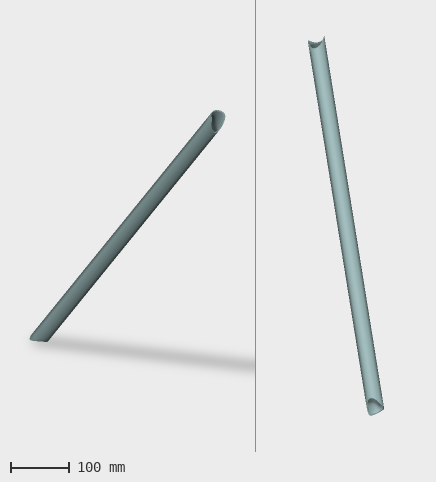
import cadquery as cq

TUBE_RADIUS = 14.5
WALL = 1.5

LOWER_END = cq.Vector(-215.5, -82.0, -313.5)
UPPER_END = cq.Vector(212.0, 81.5, 294.0)
OVERRUN = 48.5

LOWER_MATE_RADIUS = 16.0
LOWER_MATE_CENTRE = cq.Vector(-215.5, -79.0, -305.5)
LOWER_MATE_AXIS = cq.Vector(1.0, -0.07, -0.12)
UPPER_MATE_RADIUS = 16.0
UPPER_MATE_CENTRE = cq.Vector(218.5, 83.0, 294.0)
UPPER_MATE_AXIS = cq.Vector(-0.19, 0.06, 1.0)
MATE_LENGTH = 243.0


def rod(radius, start, direction, length):
    """Solid cylinder growing from start along direction."""
    return cq.Workplane(cq.Solid.makeCylinder(radius, length, start, direction))


def mating_tube(radius, centre, axis):
    """Solid envelope of a mating tube, centred on its joint."""
    start = centre - axis.normalized() * (MATE_LENGTH / 2)
    return rod(radius, start, axis, MATE_LENGTH)


centre_line = UPPER_END - LOWER_END
direction = centre_line.normalized()
blank_start = LOWER_END - direction * OVERRUN
blank_length = centre_line.Length + 2 * OVERRUN
outside = rod(TUBE_RADIUS, blank_start, direction, blank_length)
bore = rod(TUBE_RADIUS - WALL, blank_start, direction, blank_length)
blank = outside.cut(bore)

lower_mate = mating_tube(LOWER_MATE_RADIUS, LOWER_MATE_CENTRE, LOWER_MATE_AXIS)
upper_mate = mating_tube(UPPER_MATE_RADIUS, UPPER_MATE_CENTRE, UPPER_MATE_AXIS)
coped = blank.cut(lower_mate).cut(upper_mate)
result = cq.Workplane(max(coped.solids().vals(), key=lambda piece: piece.Volume()))